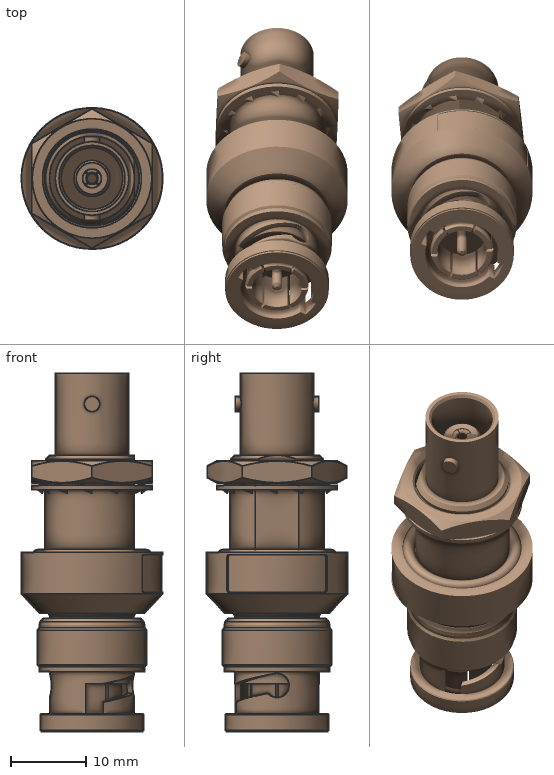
import cadquery as cq
import math


RING_R = 6.91
RING_TOP = 2.4
RING_TOP_CHAMFER = 0.12
RING_FOOT_R = 6.75
RING_FOOT_HEIGHT = 0.25
SLEEVE_R = 5.64
SLEEVE_BORE_R = 4.9
CAVITY_TOP = 6.4
FERRULE_R = 3.97
FERRULE_BORE_R = 3.3
FERRULE_BOTTOM = 0.5
FERRULE_BEAD_TOP = 1.7
FERRULE_BEAD_R = 4.2
FERRULE_SLITS = 6
FERRULE_SLIT_WIDTH = 0.36
PIN_R = 0.68
PIN_TIP_CHAMFER = 0.4
SLEEVE_SIDES = (0, 180)

ENTRY_LEFT = -0.8
ENTRY_RIGHT = 1.53
HELIX_START_Z = 4.86
HELIX_RISE = 1.78
HELIX_SWEEP = 90
HELIX_SLOT_HEIGHT = 2.43
DETENT_R = 1.6
DETENT_Z = 6.2

GRIP_R = 7.3
GRIP_LAND_R = 7.03
GRIP_SHOULDER_R = 6.9
GRIP_TOP_R = 6.45
GRIP_LAND_BOTTOM = 8.03
GRIP_LAND_TOP = 8.7
GRIP_BOTTOM = 8.95
GRIP_TOP = 13.55
GRIP_UPPER_LAND_BOTTOM = 13.85
GRIP_UPPER_LAND_TOP = 14.25
GRIP_SHOULDER_TOP = 14.7
COLLAR_TOP = 15.15

NECK_R = 5.6
NECK_CONE_R = 5.78
NECK_CONE_BOTTOM = 15.4
FLANGE_R = 9.42
FLANGE_FOOT_R = 6.96
FLANGE_FOOT_Z = 15.8
FLANGE_BOTTOM = 18.42
FLANGE_TOP = 23.9
PANEL_HALF_ANGLE = 45
PANEL_DEPTH = 0.1
PANEL_MARGIN_BOTTOM = 0.17
PANEL_MARGIN_TOP = 0.28
PANEL_CORNER_R = 0.35

SEAL_RADIUS = 7.1
SEAL_SECTION_R = 0.85
SEAL_HEIGHT = 0.4
SEAL_CENTRE_Z = FLANGE_TOP + SEAL_HEIGHT - SEAL_SECTION_R
SEAL_GROOVE_R = 7.93

BARREL_R = 6.3
BARREL_LEAD_R = 6.17
BARREL_FLAT_X = 5.61
BARREL_TOP = 36.82
BARREL_CHAMFER_R = 5.65
BARREL_CHAMFER_HEIGHT = 0.5

TOTAL_HEIGHT = 47.8
TUBE_R = 4.88
TUBE_BORE_R = 4.1
TUBE_MOUTH_R = 4.4
TUBE_MOUTH_DEPTH = 0.35
TUBE_BORE_DEPTH = 8.5
LUG_R = 1.02
LUG_SPAN = 11.15
LUG_Z = 43.67
INSULATOR_R = 2.4
INSULATOR_TOP = TOTAL_HEIGHT - 3.2
INSULATOR_CHAMFER = 0.3
CONTACT_R = 1.25
CONTACT_BORE_R = 0.67
CONTACT_RECESS = 0.2
CONTACT_BORE_DEPTH = 4.0
CONTACT_MOUTH_R = 0.8
CONTACT_SLIT_WIDTH = 0.15
CONTACT_SLIT_DEPTH = 2.0

NUT_APOTHEM = 8.05
NUT_CORNER_R = NUT_APOTHEM / math.cos(math.radians(30))
NUT_BOTTOM = 33.15
NUT_TOP = 36.12
NUT_FACE_R = 7.95
NUT_BLANK_R = 10.2
NUT_CHAMFER_SLOPE = math.tan(math.radians(28))
NUT_BORE_CHAMFER = 0.28

WASHER_R = 8.03
WASHER_BORE_R = 6.6
WASHER_BOTTOM = 32.25
WASHER_TOP = 32.85
TEETH = 12
TOOTH_OUTER_R = 7.2
TOOTH_WIDTH = 1.8
TOOTH_DROP = 0.45


def revolved(points):
    """Revolve an outline of (radius, height) points about Z, starting on the -X side."""
    outline = [(-radius, height) for radius, height in points]
    return cq.Workplane("XZ").polyline(outline).close().revolve(360, (0, 0), (0, 1))


def cylinder(radius, bottom, top):
    return cq.Workplane("XY").workplane(offset=bottom).circle(radius).extrude(top - bottom)


def tube(outer, inner, bottom, top):
    return cylinder(outer, bottom, top).cut(cylinder(inner, bottom, top))


def bayonet_track():
    """Cutter for the track that starts at -Y and rises to the detent hole at +X."""
    entry = cq.Workplane("XY").box(
        ENTRY_RIGHT - ENTRY_LEFT, FLANGE_R, CAVITY_TOP, centered=False
    ).translate((ENTRY_LEFT, -FLANGE_R, 0))

    pitch = HELIX_RISE * 360 / HELIX_SWEEP
    mid_radius = (SLEEVE_R + SLEEVE_BORE_R) / 2
    path = cq.Workplane(cq.Wire.makeHelix(pitch, HELIX_RISE, mid_radius))
    helix = (
        cq.Workplane("XZ")
        .center(mid_radius, 0)
        .rect(2 * (SLEEVE_R - SLEEVE_BORE_R), HELIX_SLOT_HEIGHT)
        .sweep(path, isFrenet=True)
        .rotate((0, 0, 0), (0, 0, 1), -HELIX_SWEEP)
        .translate((0, 0, HELIX_START_Z))
    )

    detent = cq.Workplane("YZ").center(0, DETENT_Z).circle(DETENT_R).extrude(FLANGE_R)
    reach = cylinder(SLEEVE_R, 0, GRIP_LAND_BOTTOM)
    return entry.union(helix).union(detent).intersect(reach)


def plug_sleeve():
    ring = revolved([
        (SLEEVE_BORE_R, 0),
        (RING_FOOT_R, 0),
        (RING_FOOT_R, RING_FOOT_HEIGHT),
        (RING_R, RING_FOOT_HEIGHT),
        (RING_R, RING_TOP - RING_TOP_CHAMFER),
        (RING_R - RING_TOP_CHAMFER, RING_TOP),
        (SLEEVE_R, RING_TOP),
        (SLEEVE_R, GRIP_LAND_BOTTOM),
        (SLEEVE_BORE_R, GRIP_LAND_BOTTOM),
    ])
    track = bayonet_track()
    for angle in SLEEVE_SIDES:
        ring = ring.cut(track.rotate((0, 0, 0), (0, 0, 1), angle))
    return ring


def ferrule():
    bead_middle = (FERRULE_BOTTOM + FERRULE_BEAD_TOP) / 2
    spring = (
        cq.Workplane("XZ")
        .moveTo(-FERRULE_BORE_R, CAVITY_TOP)
        .lineTo(-FERRULE_BORE_R, FERRULE_BOTTOM)
        .lineTo(-FERRULE_R, FERRULE_BOTTOM)
        .threePointArc((-FERRULE_BEAD_R, bead_middle), (-FERRULE_R, FERRULE_BEAD_TOP))
        .lineTo(-FERRULE_R, CAVITY_TOP)
        .close()
        .revolve(360, (0, 0), (0, 1))
    )
    slit = cq.Workplane("XY").box(
        FERRULE_BEAD_R, FERRULE_SLIT_WIDTH, CAVITY_TOP, centered=(False, True, False)
    )
    for number in range(FERRULE_SLITS):
        spring = spring.cut(slit.rotate((0, 0, 0), (0, 0, 1), number * 360 / FERRULE_SLITS))
    return spring


def plug_pin():
    return cylinder(PIN_R, FERRULE_BOTTOM, CAVITY_TOP).faces("<Z").chamfer(PIN_TIP_CHAMFER)


def core():
    """Solid middle of the adapter, from the plug cavity up to the barrel shoulder."""
    return revolved([
        (0, CAVITY_TOP),
        (SLEEVE_BORE_R, CAVITY_TOP),
        (SLEEVE_BORE_R, GRIP_LAND_BOTTOM),
        (GRIP_LAND_R, GRIP_LAND_BOTTOM),
        (GRIP_LAND_R, GRIP_LAND_TOP),
        (GRIP_R, GRIP_BOTTOM),
        (GRIP_R, GRIP_TOP),
        (GRIP_LAND_R, GRIP_UPPER_LAND_BOTTOM),
        (GRIP_LAND_R, GRIP_UPPER_LAND_TOP),
        (GRIP_SHOULDER_R, GRIP_SHOULDER_TOP),
        (GRIP_TOP_R, COLLAR_TOP),
        (NECK_R, COLLAR_TOP),
        (NECK_R, NECK_CONE_BOTTOM),
        (NECK_CONE_R, FLANGE_FOOT_Z),
        (FLANGE_FOOT_R, FLANGE_FOOT_Z),
        (FLANGE_R, FLANGE_BOTTOM),
        (FLANGE_R, FLANGE_TOP),
        (SEAL_GROOVE_R, FLANGE_TOP),
        (SEAL_GROOVE_R, SEAL_CENTRE_Z),
        (0, SEAL_CENTRE_Z),
    ])


def flange_panel():
    """Cutter for the shallow rounded panel wrapped round the +X side of the flange."""
    bottom = FLANGE_BOTTOM + PANEL_MARGIN_BOTTOM
    top = FLANGE_TOP - PANEL_MARGIN_TOP
    width = 2 * FLANGE_R * math.cos(math.radians(90 - PANEL_HALF_ANGLE))
    depth_from_axis = FLANGE_R * math.cos(math.radians(PANEL_HALF_ANGLE))
    window = (
        cq.Workplane("XZ")
        .center(depth_from_axis + width / 2, (bottom + top) / 2)
        .rect(width, top - bottom)
        .extrude(FLANGE_R, both=True)
        .edges("|Y and <X")
        .fillet(PANEL_CORNER_R)
    )
    return window.intersect(tube(FLANGE_R, FLANGE_R - PANEL_DEPTH, bottom, top))


def barrel():
    lead_bottom = NUT_TOP - NUT_BORE_CHAMFER
    blank = revolved([
        (0, SEAL_CENTRE_Z),
        (BARREL_R, SEAL_CENTRE_Z),
        (BARREL_R, lead_bottom),
        (BARREL_LEAD_R, lead_bottom),
        (BARREL_LEAD_R, BARREL_TOP - BARREL_CHAMFER_HEIGHT),
        (BARREL_CHAMFER_R, BARREL_TOP),
        (0, BARREL_TOP),
    ])
    beyond_flat = cq.Workplane("XY").box(
        BARREL_R, 2 * BARREL_R, BARREL_TOP, centered=(False, True, False)
    ).translate((BARREL_FLAT_X, 0, 0))
    return blank.cut(beyond_flat)


def seal():
    ring = (
        cq.Workplane("XZ")
        .center(-SEAL_RADIUS, SEAL_CENTRE_Z)
        .circle(SEAL_SECTION_R)
        .revolve(360, (SEAL_RADIUS, 0), (SEAL_RADIUS, 1))
    )
    return ring.intersect(cylinder(FLANGE_R, SEAL_CENTRE_Z, BARREL_TOP))


def socket():
    bore_floor = TOTAL_HEIGHT - TUBE_BORE_DEPTH
    shell = revolved([
        (0, BARREL_TOP),
        (TUBE_R, BARREL_TOP),
        (TUBE_R, TOTAL_HEIGHT),
        (TUBE_MOUTH_R, TOTAL_HEIGHT),
        (TUBE_BORE_R, TOTAL_HEIGHT - TUBE_MOUTH_DEPTH),
        (TUBE_BORE_R, bore_floor),
        (0, bore_floor),
    ])
    lugs = cq.Workplane("XZ").center(0, LUG_Z).circle(LUG_R).extrude(LUG_SPAN / 2, both=True)
    lugs = lugs.cut(cylinder((TUBE_R + TUBE_BORE_R) / 2, BARREL_TOP, TOTAL_HEIGHT))
    contact_floor = INSULATOR_TOP - CONTACT_RECESS
    insulator = revolved([
        (0, bore_floor),
        (INSULATOR_R, bore_floor),
        (INSULATOR_R, INSULATOR_TOP - INSULATOR_CHAMFER),
        (INSULATOR_R - INSULATOR_CHAMFER, INSULATOR_TOP),
        (CONTACT_R, INSULATOR_TOP),
        (CONTACT_R, contact_floor),
        (CONTACT_MOUTH_R, contact_floor),
        (CONTACT_BORE_R, contact_floor - CONTACT_MOUTH_R + CONTACT_BORE_R),
        (CONTACT_BORE_R, contact_floor - CONTACT_BORE_DEPTH),
        (0, contact_floor - CONTACT_BORE_DEPTH),
    ])
    slit = cq.Workplane("XY").box(
        2 * CONTACT_R, CONTACT_SLIT_WIDTH, CONTACT_SLIT_DEPTH, centered=(True, True, False)
    ).translate((0, 0, contact_floor - CONTACT_SLIT_DEPTH))
    for angle in (45, 135):
        insulator = insulator.cut(slit.rotate((0, 0, 0), (0, 0, 1), angle))
    return shell.union(lugs).union(insulator)


def make_adapter():
    adapter = core().cut(flange_panel())
    for piece in (barrel(), seal(), socket(), plug_sleeve(), ferrule(), plug_pin()):
        adapter = adapter.union(piece)
    return adapter


def make_nut():
    hexagon = (
        cq.Workplane("XY")
        .workplane(offset=NUT_BOTTOM)
        .polygon(6, 2 * NUT_CORNER_R)
        .extrude(NUT_TOP - NUT_BOTTOM)
        .rotate((0, 0, 0), (0, 0, 1), 90)
    )
    rim_drop = (NUT_BLANK_R - NUT_FACE_R) * NUT_CHAMFER_SLOPE
    turned = revolved([
        (BARREL_R, NUT_BOTTOM),
        (NUT_FACE_R, NUT_BOTTOM),
        (NUT_BLANK_R, NUT_BOTTOM + rim_drop),
        (NUT_BLANK_R, NUT_TOP - rim_drop),
        (NUT_FACE_R, NUT_TOP),
        (BARREL_R + NUT_BORE_CHAMFER, NUT_TOP),
        (BARREL_R, NUT_TOP - NUT_BORE_CHAMFER),
    ])
    return hexagon.intersect(turned)


def make_washer():
    tip_bottom = WASHER_BOTTOM - TOOTH_DROP
    mid_height = (WASHER_BOTTOM + WASHER_TOP) / 2
    tooth = (
        cq.Workplane("XZ")
        .polyline([
            (0, mid_height),
            (0, tip_bottom),
            (-TOOTH_WIDTH, mid_height),
            (-TOOTH_WIDTH, NUT_BOTTOM),
        ])
        .close()
        .extrude(WASHER_R)
    )
    envelope = revolved([
        (WASHER_BORE_R, tip_bottom),
        (TOOTH_OUTER_R, WASHER_BOTTOM),
        (TOOTH_OUTER_R, WASHER_TOP),
        (WASHER_BORE_R, NUT_BOTTOM),
    ])
    washer = revolved([
        (WASHER_BORE_R, WASHER_BOTTOM),
        (WASHER_R, WASHER_BOTTOM),
        (WASHER_R, WASHER_TOP),
        (WASHER_BORE_R, WASHER_TOP),
    ])
    tooth = tooth.intersect(envelope)
    for number in range(TEETH):
        turned_tooth = tooth.rotate((0, 0, 0), (0, 0, 1), number * 360 / TEETH)
        washer = washer.union(turned_tooth, clean=False)
    return washer


adapter = make_adapter()
nut = make_nut()
washer = make_washer()

result = cq.Compound.makeCompound([adapter.val(), nut.val(), washer.val()])